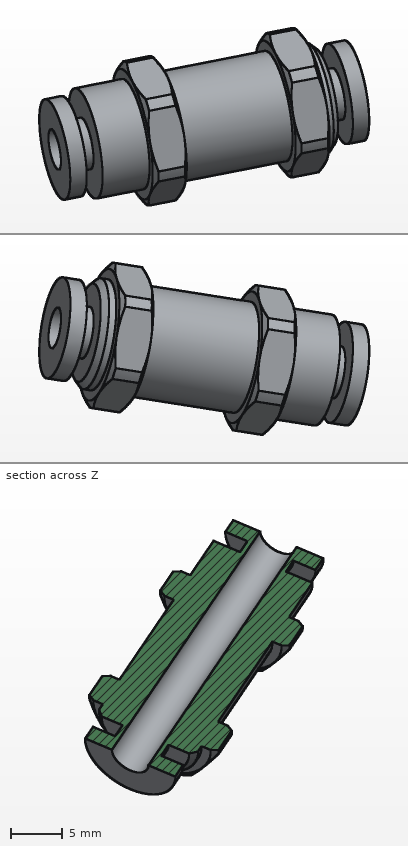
import cadquery as cq
import math

length = 30.6
bore_diameter = 4.0
flange_diameter = 10.0
flange_thickness = 1.68
neck_diameter = 5.15
neck_length = 1.47
body_diameter = 11.0
body_chamfer = 0.65

nut_sides = 6
nut_across_flats = 13.0
nut_corner_diameter = 14.35
nut_height = 3.5
nut_chamfer_angle = 30.0
front_nut_offset = 7.95
rear_nut_offset = 4.53

front_end = -length / 2
body_length = length - 2 * (flange_thickness + neck_length)
body_front = front_end + flange_thickness + neck_length
front_nut_start = front_end + front_nut_offset
rear_nut_start = length / 2 - rear_nut_offset - nut_height


def section_plane(y):
    """Plane across the axis at y, with its normal along +Y and its x along +X."""
    return cq.Plane(origin=(0, y, 0), xDir=(1, 0, 0), normal=(0, 1, 0))


def cylinder(diameter, start, height):
    return cq.Workplane(section_plane(start)).circle(diameter / 2).extrude(height)


def make_body():
    body = cylinder(body_diameter, body_front, body_length)
    return body.faces(">Y").chamfer(body_chamfer)


def make_release_button(end, direction):
    """Flange and neck, running from an end of the fitting towards the body."""
    flange = cylinder(flange_diameter, end, direction * flange_thickness)
    neck = cylinder(neck_diameter, end + direction * flange_thickness, direction * neck_length)
    return flange.union(neck)


def make_nut(start):
    """Hexagon with flats facing +Z and -Z, corners rounded and chamfered at both faces."""
    face_radius = nut_across_flats / 2
    corner_radius = nut_corner_diameter / 2
    chamfer_slope = math.tan(math.radians(nut_chamfer_angle))
    chamfer_height = (corner_radius - face_radius) * chamfer_slope
    across_points = nut_across_flats / math.cos(math.pi / nut_sides)
    hexagon = (
        cq.Workplane(section_plane(start))
        .polygon(nut_sides, across_points)
        .extrude(nut_height)
    )
    end = start + nut_height
    envelope = (
        cq.Workplane("XY")
        .polyline([
            (0, start),
            (face_radius, start),
            (corner_radius, start + chamfer_height),
            (corner_radius, end - chamfer_height),
            (face_radius, end),
            (0, end),
        ])
        .close()
        .revolve(360, (0, 0, 0), (0, 1, 0))
    )
    return hexagon.intersect(envelope)


result = (
    make_body()
    .union(make_release_button(front_end, 1))
    .union(make_release_button(-front_end, -1))
    .union(make_nut(front_nut_start))
    .union(make_nut(rear_nut_start))
    .cut(cylinder(bore_diameter, front_end, length))
)